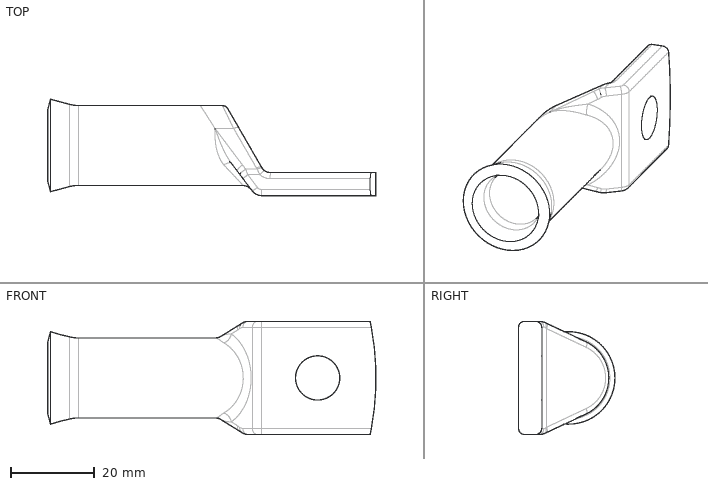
import cadquery as cq
import math

total_length = 78.35
tube_radius = 9.55
bore_radius = 6.9
bore_depth = 37.6

flare_angle = math.radians(15)
flare_cone_end = 5.25
flare_blend_end = 7.4

palm_width = 27.0
palm_back = -12.0
palm_thickness = 5.6
palm_end_rise = 1.4
hole_x = 64.4
hole_radius = 5.25

neck_front_angle = math.radians(60)
neck_front_top_x = 42.55
neck_back_angle = math.radians(53)
neck_back_foot_x = 49.7
shoulder_y = -6.3
tube_end_setback = 3.1

edge_fillet = 1.5
shoulder_radius = 3.1
inner_bend_radius = 2.35
outer_bend_radius = 2.75
neck_root_fillet = 2.35

palm_front = palm_back + palm_thickness
half_width = palm_width / 2


def flared_profile(radius):
    """Outline from the axis to a flared wall; walls of all radii are parallel offsets."""
    outer_blend_radius = (flare_blend_end - flare_cone_end) / math.sin(flare_angle)
    centre_radius = tube_radius + outer_blend_radius
    blend_radius = centre_radius - radius

    def blend_point(angle):
        return (
            flare_blend_end - blend_radius * math.sin(angle),
            centre_radius - blend_radius * math.cos(angle),
        )

    mouth_x = (radius - bore_radius) * math.sin(flare_angle)
    cone_end_x, cone_end_radius = blend_point(flare_angle)
    mouth_radius = cone_end_radius + (cone_end_x - mouth_x) * math.tan(flare_angle)
    bore_mouth_radius = mouth_radius - (radius - bore_radius) * math.cos(flare_angle)
    profile = cq.Workplane("XY").lineTo(0, bore_mouth_radius)
    if radius > bore_radius:
        profile = profile.lineTo(mouth_x, mouth_radius)
    return (
        profile
        .lineTo(cone_end_x, cone_end_radius)
        .threePointArc(blend_point(flare_angle / 2), (flare_blend_end, radius))
    )


def revolve_about_axis(profile):
    return profile.close().revolve(360, (0, 0, 0), (1, 0, 0))


def neck_front_x(y):
    return neck_front_top_x + (tube_radius - y) / math.tan(neck_front_angle)


def neck_back_x(y):
    return neck_back_foot_x - (y - palm_back) / math.tan(neck_back_angle)


def make_tube():
    profile = (
        flared_profile(tube_radius)
        .lineTo(neck_back_foot_x, tube_radius)
        .lineTo(neck_back_foot_x, 0)
    )
    tube = revolve_about_axis(profile)
    slope_y = 2 * tube_radius
    keep = (
        cq.Workplane("XY")
        .polyline([
            (0, -slope_y),
            (neck_front_x(-slope_y) - tube_end_setback, -slope_y),
            (neck_front_x(slope_y) - tube_end_setback, slope_y),
            (0, slope_y),
        ])
        .close()
        .extrude(tube_radius * 2, both=True)
    )
    return tube.intersect(keep)


def make_bore():
    profile = (
        flared_profile(bore_radius)
        .lineTo(bore_depth, bore_radius)
        .lineTo(bore_depth, 0)
    )
    return revolve_about_axis(profile)


def make_neck_and_palm():
    top = tube_radius + 0.8
    bent_plate = (
        cq.Workplane("XY")
        .polyline([
            (neck_back_x(top), top),
            (neck_front_x(top), top),
            (neck_front_x(palm_front), palm_front),
            (total_length, palm_front),
            (total_length, palm_back),
            (neck_back_foot_x, palm_back),
        ])
        .close()
        .extrude(half_width, both=True)
    )
    bent_plate = bent_plate.edges(
        cq.selectors.NearestToPointSelector((neck_front_x(palm_front), palm_front, 0))
    ).fillet(inner_bend_radius)
    bent_plate = bent_plate.edges(
        cq.selectors.NearestToPointSelector((neck_back_foot_x, palm_back, 0))
    ).fillet(outer_bend_radius)

    tangent_angle = math.atan2(half_width, shoulder_y) - math.acos(
        tube_radius / math.hypot(shoulder_y, half_width)
    )
    tangent_y = tube_radius * math.cos(tangent_angle)
    tangent_z = tube_radius * math.sin(tangent_angle)
    outline = (
        cq.Workplane("YZ")
        .moveTo(palm_back, -half_width)
        .lineTo(shoulder_y, -half_width)
        .lineTo(tangent_y, -tangent_z)
        .threePointArc((tube_radius, 0), (tangent_y, tangent_z))
        .lineTo(shoulder_y, half_width)
        .lineTo(palm_back, half_width)
        .close()
        .extrude(total_length)
    )
    for side in (-1, 1):
        shoulder = (total_length / 2, shoulder_y, side * half_width)
        outline = outline.edges(
            cq.selectors.NearestToPointSelector(shoulder)
        ).fillet(shoulder_radius)
    return bent_plate.intersect(outline)


def rim_edges(solid):
    """Return the edges around the front and back faces, leaving the palm end sharp."""
    plate_faces = [
        face for face in solid.faces().vals()
        if abs(face.Center().z) < edge_fillet
        and face.geomType() in ("PLANE", "CYLINDER")
        and face.Center().x < total_length - edge_fillet
        and not is_tube_face(face)
    ]
    edges = [edge for face in plate_faces for edge in face.Edges()]
    return [
        edge for edge in edges
        if sum(edge.isSame(other) for other in edges) == 1
        and edge.Center().x < total_length - edge_fillet
    ]


def is_tube_face(face):
    return face.geomType() == "CYLINDER" and face.Center().y > 0


def round_palm_end(solid):
    end_x = total_length - palm_end_rise
    end_trim = (
        cq.Workplane("XZ", origin=(0, palm_back, 0))
        .moveTo(0, -half_width)
        .lineTo(end_x, -half_width)
        .threePointArc((total_length, 0), (end_x, half_width))
        .lineTo(0, half_width)
        .close()
        .extrude(-2 * palm_width)
    )
    return solid.intersect(end_trim)


def make_bolt_hole():
    return (
        cq.Workplane("XZ", origin=(hole_x, palm_back, 0))
        .circle(hole_radius)
        .extrude(-palm_thickness)
    )


def fillet_neck_root(solid):
    """Blend the underside of the tube into the back of the neck."""
    roots = [
        edge for edge in solid.edges("%ELLIPSE").vals()
        if abs(edge.Center().z) < neck_root_fillet and edge.Center().y < shoulder_y
    ]
    return solid.newObject(roots).fillet(neck_root_fillet)


neck_and_palm = make_neck_and_palm()
neck_and_palm = neck_and_palm.newObject(rim_edges(neck_and_palm)).fillet(edge_fillet)
neck_and_palm = round_palm_end(neck_and_palm)
body = make_tube().cut(neck_and_palm).union(neck_and_palm)
body = fillet_neck_root(body)
result = body.cut(make_bore()).cut(make_bolt_hole())